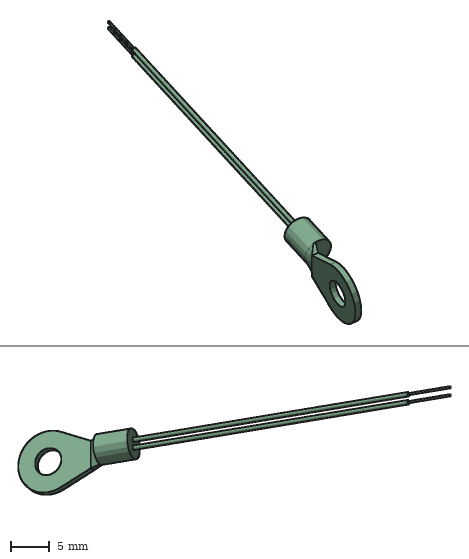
import cadquery as cq
import math

total_length = 61.8

bare_length = 6.0
bare_diameter = 0.3
insulation_diameter = 0.6
lead_spacing = 1.1

barrel_start = 44.9
barrel_length = 4.8
barrel_radius = 2.05
barrel_end = barrel_start + barrel_length

ring_radius = 4.25
hole_radius = 1.85
plate_thickness = 0.9
plate_front = -barrel_radius
plate_back = plate_front + plate_thickness
ring_center = total_length - ring_radius

neck_length = 1.7
neck_half_width = 1.9
neck_top = -0.3
neck_end = barrel_end + neck_length


def rod(start, end, diameter, height=0):
    """Round bar parallel to X."""
    return (
        cq.Workplane("YZ", origin=(start, 0, height))
        .circle(diameter / 2)
        .extrude(end - start)
    )


def lead(height):
    """Wire with its insulation cut back from the free end."""
    bare = rod(0, barrel_start, bare_diameter, height)
    insulation = rod(bare_length, barrel_start, insulation_diameter, height)
    return bare.union(insulation)


def neck():
    """Loft from the lower part of the barrel section to the tongue section."""
    side_bottom = -math.sqrt(barrel_radius**2 - neck_half_width**2)
    return (
        cq.Workplane("YZ", origin=(barrel_end, 0, 0))
        .moveTo(neck_top, -neck_half_width)
        .lineTo(neck_top, neck_half_width)
        .lineTo(side_bottom, neck_half_width)
        .threePointArc((-barrel_radius, 0), (side_bottom, -neck_half_width))
        .close()
        .workplane(offset=neck_length)
        .moveTo(plate_back, -neck_half_width)
        .lineTo(plate_back, neck_half_width)
        .lineTo(plate_front, neck_half_width)
        .lineTo(plate_front, -neck_half_width)
        .close()
        .loft(ruled=True)
    )


def tongue():
    """Ring plate whose sides run from the neck tangent to the ring."""
    run = ring_center - neck_end
    reach = math.hypot(run, neck_half_width)
    taper = math.asin(ring_radius / reach) - math.atan2(neck_half_width, run)
    tangent_x = ring_center - ring_radius * math.sin(taper)
    tangent_z = ring_radius * math.cos(taper)
    return (
        cq.Workplane("XZ", origin=(0, plate_back, 0))
        .moveTo(neck_end, -neck_half_width)
        .lineTo(tangent_x, -tangent_z)
        .threePointArc((total_length, 0), (tangent_x, tangent_z))
        .lineTo(neck_end, neck_half_width)
        .close()
        .moveTo(ring_center, 0)
        .circle(hole_radius)
        .extrude(plate_thickness)
    )


result = rod(barrel_start, barrel_end, 2 * barrel_radius).union(neck()).union(tongue())
for side in (-1, 1):
    result = result.union(lead(side * lead_spacing / 2))